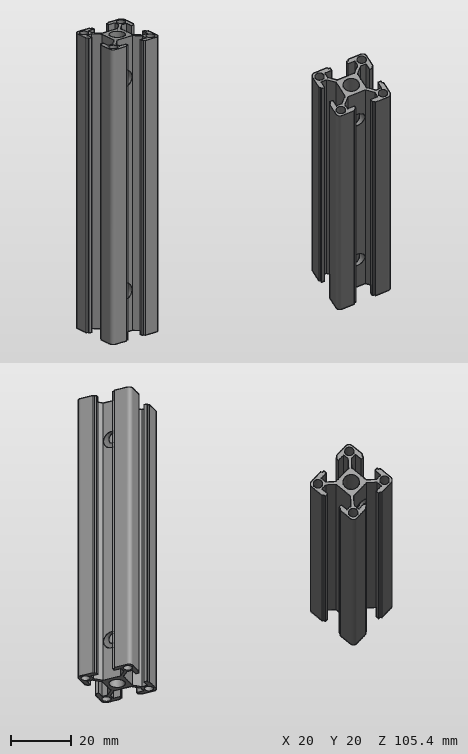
import cadquery as cq
import math

width = 20.0
length = 105.4
corner_radius = 1.5

slot_opening = 6.0
lip_thickness = 1.7
step_width = 0.6
step_depth = 0.5
step_slope = 0.3
cavity_half_width = 5.6

core_width = 7.9
web_thickness = 1.1

center_bore_diameter = 5.4
corner_bore_diameter = 3.1
corner_bore_offset = 7.8

cross_hole_diameter = 6.1
cross_hole_spacing = 76.1

half_width = width / 2
half_core = core_width / 2
half_opening = slot_opening / 2
web_offset = web_thickness / math.sqrt(2)


def slot_cutter():
    """Full-length T-slot void in the +Y side."""
    lip_inner = half_width - lip_thickness
    right_side = [
        (half_core - web_offset, half_core),
        (cavity_half_width, cavity_half_width + web_offset),
        (cavity_half_width, lip_inner),
        (half_opening, lip_inner),
        (half_opening, half_width - step_depth),
        (half_opening + step_width, half_width - step_depth),
        (half_opening + step_width + step_slope, half_width),
    ]
    left_side = [(-x, y) for x, y in reversed(right_side)]
    return cq.Workplane("XY").polyline(right_side + left_side).close().extrude(length)


def cross_holes():
    """Two holes along X, as long as the core is wide."""
    return (
        cq.Workplane("YZ", origin=(0, 0, length / 2))
        .rarray(1.1, cross_hole_spacing, 1, 2)
        .circle(cross_hole_diameter / 2)
        .extrude(half_core, both=True)
    )


profile = cq.Workplane("XY").rect(width, width).extrude(length).edges("|Z").fillet(corner_radius)
for side in range(4):
    slot = slot_cutter().rotate((0, 0, 0), (0, 0, 1), 90 * side)
    profile = profile.cut(slot)

center_bore = cq.Workplane("XY").circle(center_bore_diameter / 2).extrude(length)
corner_bores = (
    cq.Workplane("XY")
    .rarray(2 * corner_bore_offset, 2 * corner_bore_offset, 2, 2)
    .circle(corner_bore_diameter / 2)
    .extrude(length)
)

result = profile.cut(center_bore).cut(corner_bores).cut(cross_holes())